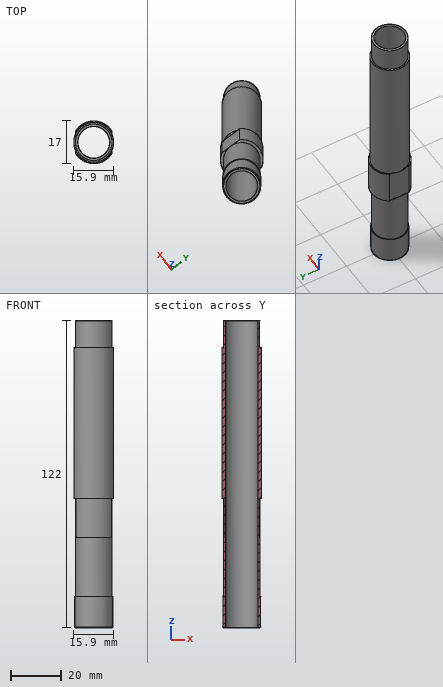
import cadquery as cq

total_length = 122.0
shaft_diameter = 14.5
bore_diameter = 12.5

foot_diameter = 15.1
foot_height = 12.4
foot_chamfer = 0.4

wrench_diameter = 17.0
wrench_across_flats = 14.4
wrench_bottom = 36.0
wrench_top = 51.3

sleeve_diameter = 15.9
sleeve_top = 111.2


def cylinder(diameter, bottom, top):
    """Solid cylinder on the Z axis between two heights."""
    return cq.Workplane("XY").workplane(offset=bottom).circle(diameter / 2).extrude(top - bottom)


def wrench_section():
    """Round band trimmed to the distance across its flats."""
    height = wrench_top - wrench_bottom
    trim = (
        cq.Workplane("XY")
        .workplane(offset=wrench_bottom)
        .rect(wrench_across_flats, wrench_diameter)
        .extrude(height)
    )
    return cylinder(wrench_diameter, wrench_bottom, wrench_top).intersect(trim)


foot = cylinder(foot_diameter, 0, foot_height).faces("<Z").chamfer(foot_chamfer)
lower_shaft = cylinder(shaft_diameter, foot_height, wrench_bottom)
sleeve = cylinder(sleeve_diameter, wrench_top, sleeve_top)
neck = cylinder(shaft_diameter, sleeve_top, total_length)
bore = cylinder(bore_diameter, 0, total_length)

result = foot.union(lower_shaft).union(wrench_section()).union(sleeve).union(neck).cut(bore)